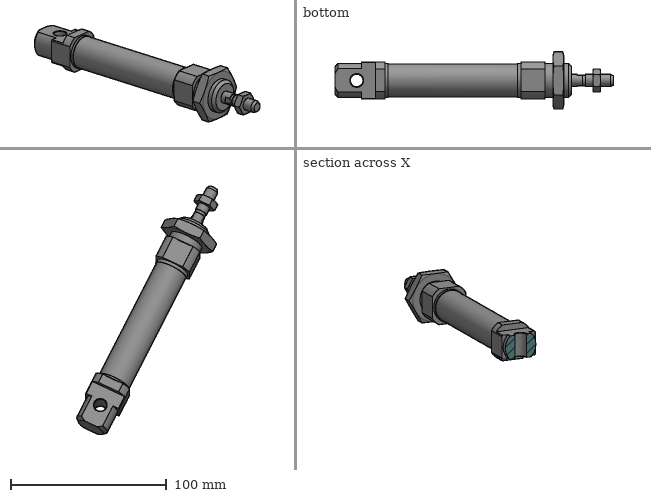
import cadquery as cq
import math


ear_end = 17.0
flats_end = 26.0
rear_block_end = 32.3
barrel_start = 34.0
barrel_end = 117.3
head_block_start = 119.6
head_block_end = 134.8
mounting_nut_start = 140.0
head_end = 152.0
wrench_flat_start = 155.5
wrench_flat_end = 160.5
groove_start = 159.0
groove_end = 161.0
rod_nut_start = 165.7
rod_end = 179.0

block_width = 24.0
block_corner_radius = 14.0
neck_radius = 11.0
neck_chamfer = 2.0
collar_radius = neck_radius
ear_thickness = 16.0
pivot_x = 14.0
pivot_diameter = 8.0
pivot_chamfer = 0.4

barrel_radius = 10.65

mounting_nut_flats = 32.0
mounting_nut_thickness = 7.0

rod_radius = 4.0
groove_radius = 3.6
wrench_flats = 7.0
rod_tip_radius = 3.0
rod_tip_length = 2.0
rod_nut_flats = 13.0
rod_nut_thickness = 4.9

nut_face_inset = 0.1
nut_bevel_angle = 15.0


def section(x):
    """Workplane across the axis at x, facing +X, with local x along Y and local y along Z."""
    return cq.Workplane("YZ", origin=(x, 0, 0))


def rod_between(start, end, radius):
    return section(start).circle(radius).extrude(end - start)


def round_cornered_block(start, end):
    """Square block whose four corners are turned to a round."""
    square = section(start).rect(block_width, block_width).extrude(end - start)
    return square.intersect(rod_between(start, end, block_corner_radius))


def make_nut(start, thickness, flats, bore_radius):
    """Bevelled hexagon nut with flats facing +Z and -Z and corners on +Y and -Y."""
    end = start + thickness
    corner_radius = flats / 2 / math.cos(math.pi / 6)
    face_radius = flats / 2 - nut_face_inset
    bevel_width = corner_radius - face_radius
    bevel_depth = bevel_width * math.tan(math.radians(nut_bevel_angle))
    bevelled_disc = (
        rod_between(start, end, corner_radius)
        .faces("<X or >X")
        .chamfer(bevel_depth, bevel_width)
    )
    hexagon = section(start).polygon(6, 2 * corner_radius).extrude(thickness)
    return hexagon.intersect(bevelled_disc).cut(rod_between(start, end, bore_radius))


def make_rear_cap():
    """Rear block with its pivot ear and the collar against the barrel."""
    ear = rod_between(0, ear_end, neck_radius).faces("<X").chamfer(neck_chamfer)
    block = round_cornered_block(ear_end, rear_block_end)
    collar = rod_between(rear_block_end, barrel_start, collar_radius)
    cap = ear.union(block).union(collar)

    slab_height = block_width / 2
    slab_offset = (ear_thickness + slab_height) / 2
    slab = cq.Workplane("XY").box(flats_end, block_width, slab_height, centered=(False, True, True))
    for side in (-1, 1):
        cap = cap.cut(slab.translate((0, 0, side * slab_offset)))

    pivot = cq.Workplane("XY").center(pivot_x, 0).circle(pivot_diameter / 2)
    cap = cap.cut(pivot.extrude(ear_thickness, both=True))
    mouths = cq.selectors.BoxSelector(
        (pivot_x - pivot_diameter, -pivot_diameter, -ear_thickness),
        (pivot_x + pivot_diameter, pivot_diameter, ear_thickness),
    )
    return cap.edges("%CIRCLE").edges(mouths).chamfer(pivot_chamfer)


def make_barrel():
    return rod_between(barrel_start, barrel_end, barrel_radius)


def make_head():
    """Front block with the collar against the barrel and the threaded neck."""
    collar = rod_between(barrel_end, head_block_start, collar_radius)
    block = round_cornered_block(head_block_start, head_block_end)
    neck = rod_between(head_block_end, head_end, neck_radius).faces(">X").chamfer(neck_chamfer)
    return collar.union(block).union(neck)


def make_rod():
    """Piston rod with wrench flats, a thread relief groove and a tapered tip."""
    rod = rod_between(head_end, groove_start, rod_radius)
    rod = rod.union(rod_between(groove_start, groove_end, groove_radius))
    thread = rod_between(groove_end, rod_end, rod_radius)
    thread = thread.faces(">X").chamfer(rod_tip_length, rod_radius - rod_tip_radius)
    flat_length = wrench_flat_end - wrench_flat_start
    cutter_width = rod_radius
    cutter_offset = (wrench_flats + cutter_width) / 2
    cutter = cq.Workplane("XY").box(flat_length, cutter_width, 2 * rod_radius, centered=(False, True, True))
    for side in (-1, 1):
        rod = rod.cut(cutter.translate((wrench_flat_start, side * cutter_offset, 0)))
    return rod.union(thread)


rear_cap = make_rear_cap()
barrel = make_barrel()
head = make_head()
mounting_nut = make_nut(mounting_nut_start, mounting_nut_thickness, mounting_nut_flats, neck_radius)
rod = make_rod()
rod_nut = make_nut(rod_nut_start, rod_nut_thickness, rod_nut_flats, rod_radius)

result = cq.Compound.makeCompound(
    [rear_cap.val(), barrel.val(), head.val(), mounting_nut.val(), rod.val(), rod_nut.val()]
)